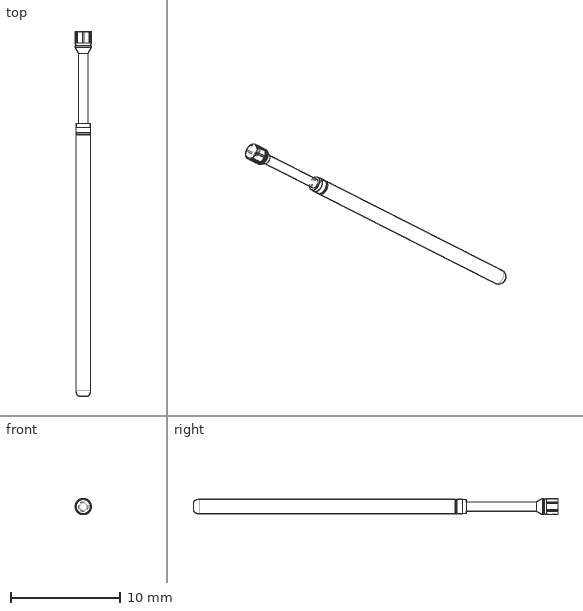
import cadquery as cq

TOTAL_LENGTH = 33.4

BARREL_LENGTH = 25.0
BARREL_RADIUS = 0.68
TAIL_FLAT_RADIUS = 0.35
TAIL_ROUND_LENGTH = 0.55
RIM_LENGTH = 0.35
RIM_STEP = 0.03
CRIMP_OFFSET = 0.85
CRIMP_WIDTH = 0.2
CRIMP_DEPTH = 0.04

SHAFT_RADIUS = 0.44
HEAD_RADIUS = 0.75
HEAD_CROWN_LENGTH = 1.05
HEAD_GROOVE_WIDTH = 0.27
HEAD_GROOVE_TAPER = 0.2
HEAD_GROOVE_DEPTH = 0.08
HEAD_LAND_WIDTH = 0.12
HEAD_CONE_LENGTH = 0.56

SLOT_COUNT = 6
SLOT_WIDTH = 0.14
SLOT_DEPTH = 0.08
SLOT_LENGTH = HEAD_CROWN_LENGTH
FIRST_SLOT_ANGLE = 90.0

TAIL_Y = -TOTAL_LENGTH / 2
TIP_Y = TOTAL_LENGTH / 2
BARREL_END_Y = TAIL_Y + BARREL_LENGTH


def make_barrel():
    """Turned barrel with a rounded tail, a shallow V-shaped crimp and a reduced rim."""
    tail_round_width = BARREL_RADIUS - TAIL_FLAT_RADIUS
    crimp_end_y = BARREL_END_Y - CRIMP_OFFSET
    crimp_start_y = crimp_end_y - CRIMP_WIDTH
    crimp_radius = BARREL_RADIUS - CRIMP_DEPTH
    rim_y = BARREL_END_Y - RIM_LENGTH
    rim_radius = BARREL_RADIUS - RIM_STEP
    profile = (
        cq.Workplane("XY")
        .moveTo(0, TAIL_Y)
        .lineTo(TAIL_FLAT_RADIUS, TAIL_Y)
        .ellipseArc(tail_round_width, TAIL_ROUND_LENGTH, -90, 0, startAtCurrent=True)
        .lineTo(BARREL_RADIUS, crimp_start_y)
        .lineTo(crimp_radius, (crimp_start_y + crimp_end_y) / 2)
        .lineTo(BARREL_RADIUS, crimp_end_y)
        .lineTo(BARREL_RADIUS, rim_y)
        .lineTo(rim_radius, rim_y)
        .lineTo(rim_radius, BARREL_END_Y)
        .lineTo(0, BARREL_END_Y)
        .close()
    )
    return profile.revolve(360, (0, 0), (0, 1))


def make_plunger():
    """Turned shaft and head: cone, land, V-groove and crown, ending in a flat tip."""
    groove_end_y = TIP_Y - HEAD_CROWN_LENGTH
    groove_start_y = groove_end_y - HEAD_GROOVE_WIDTH
    cone_end_y = groove_start_y - HEAD_LAND_WIDTH
    cone_start_y = cone_end_y - HEAD_CONE_LENGTH
    groove_radius = HEAD_RADIUS - HEAD_GROOVE_DEPTH
    profile = (
        cq.Workplane("XY")
        .moveTo(0, BARREL_END_Y)
        .lineTo(SHAFT_RADIUS, BARREL_END_Y)
        .lineTo(SHAFT_RADIUS, cone_start_y)
        .lineTo(HEAD_RADIUS, cone_end_y)
        .lineTo(HEAD_RADIUS, groove_start_y)
        .lineTo(groove_radius, groove_end_y - HEAD_GROOVE_TAPER)
        .lineTo(HEAD_RADIUS, groove_end_y)
        .lineTo(HEAD_RADIUS, TIP_Y)
        .lineTo(0, TIP_Y)
        .close()
    )
    return profile.revolve(360, (0, 0), (0, 1))


def make_slot_cutter(angle):
    """Box that cuts one lengthwise slot into the head crown at an angle about Y."""
    box = cq.Workplane("XY").box(2 * SLOT_DEPTH, SLOT_LENGTH, SLOT_WIDTH)
    box = box.translate((HEAD_RADIUS, TIP_Y - SLOT_LENGTH / 2, 0))
    return box.rotate((0, 0, 0), (0, 1, 0), -angle)


result = make_barrel().union(make_plunger())
for index in range(SLOT_COUNT):
    result = result.cut(make_slot_cutter(FIRST_SLOT_ANGLE + index * 360 / SLOT_COUNT))